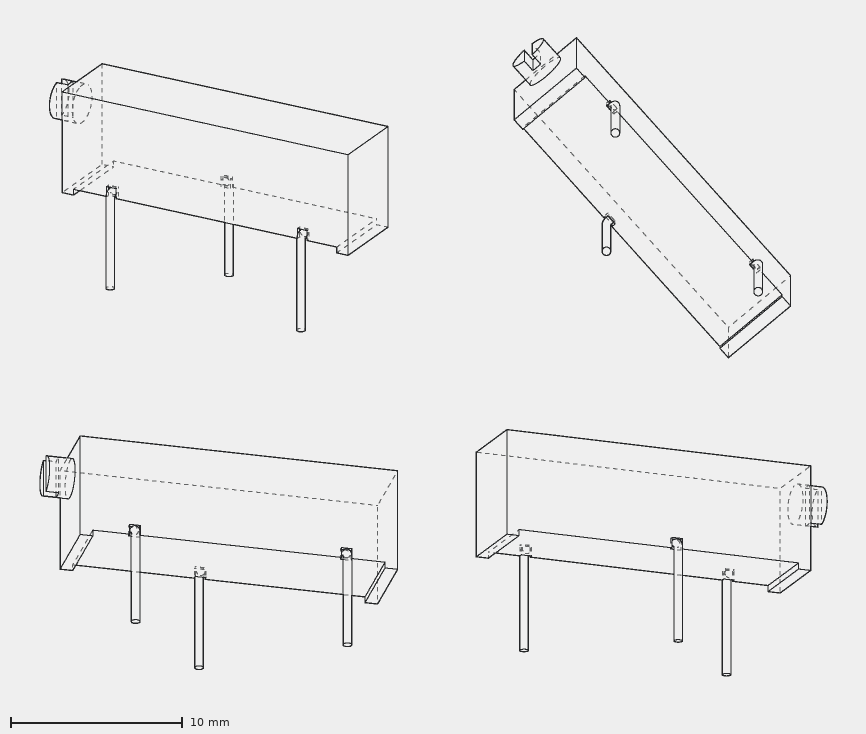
import cadquery as cq


HOUSING_LENGTH = 19.05
HOUSING_WIDTH = 4.8
HOUSING_HEIGHT = 6.38
FOOT_LENGTH = 0.76
FOOT_HEIGHT = 0.37

LEAD_DIAMETER = 0.51
LEAD_LENGTH = 5.68
BEND_RADIUS = 0.37
LEAD_ROW_OFFSET = 2.54
FIRST_LEAD_X = 3.3
LEAD_PITCH = 2.54
LEAD_EMBED = 0.41
LEAD_POSITIONS = [
    (FIRST_LEAD_X, -1),
    (FIRST_LEAD_X + 2 * LEAD_PITCH, 1),
    (FIRST_LEAD_X + 5 * LEAD_PITCH, -1),
]

NOTCH_WIDTH = 0.64
NOTCH_HEIGHT = 0.64
NOTCH_DEPTH = 0.25

SCREW_DIAMETER = 2.37
SCREW_LENGTH = 1.52
SCREW_BELOW_TOP = 1.65
SLOT_WIDTH = 0.6
SLOT_DEPTH = 0.76


def make_case():
    """Block standing on a full-width foot at each end."""
    case = cq.Workplane("XY").box(
        HOUSING_LENGTH, HOUSING_WIDTH, HOUSING_HEIGHT, centered=(False, True, False)
    )
    recess = cq.Workplane("XY").box(
        HOUSING_LENGTH - 2 * FOOT_LENGTH, HOUSING_WIDTH, FOOT_HEIGHT, centered=(False, True, False)
    )
    return case.cut(recess.translate((FOOT_LENGTH, 0, 0)))


def make_notch(x, side):
    """Pocket open to the housing side and underside; it straddles the side face."""
    notch = cq.Workplane("XY").box(
        NOTCH_WIDTH, 2 * NOTCH_DEPTH, NOTCH_HEIGHT, centered=(True, True, False)
    )
    return notch.translate((x, side * HOUSING_WIDTH / 2, FOOT_HEIGHT))


def make_lead(x, side):
    """Round wire that rises beside the housing and bends inward into it."""
    row_y = side * LEAD_ROW_OFFSET
    bend_end_y = row_y - side * BEND_RADIUS
    bend_top_z = FOOT_HEIGHT + BEND_RADIUS
    lead_radius = LEAD_DIAMETER / 2

    leg = cq.Workplane("XY", origin=(x, row_y, FOOT_HEIGHT)).circle(lead_radius).extrude(-LEAD_LENGTH)
    bend = (
        cq.Workplane("XY", origin=(x, row_y, FOOT_HEIGHT))
        .circle(lead_radius)
        .revolve(90, (0, -side * BEND_RADIUS), (side, -side * BEND_RADIUS))
    )
    inner_end = (
        cq.Workplane("XZ", origin=(x, bend_end_y, bend_top_z))
        .circle(lead_radius)
        .extrude(side * LEAD_EMBED)
    )
    return leg.union(bend).union(inner_end)


def make_housing():
    """Case and its leads as one solid."""
    housing = make_case()
    for x, side in LEAD_POSITIONS:
        housing = housing.cut(make_notch(x, side)).union(make_lead(x, side))
    return housing


def make_screw():
    """Cylinder on the housing's -X face with a vertical screwdriver slot."""
    axis_z = HOUSING_HEIGHT - SCREW_BELOW_TOP
    screw = cq.Workplane("YZ", origin=(0, 0, axis_z)).circle(SCREW_DIAMETER / 2).extrude(-SCREW_LENGTH)
    slot = cq.Workplane("XY").box(SLOT_DEPTH, SLOT_WIDTH, SCREW_DIAMETER, centered=(False, True, True))
    return screw.cut(slot.translate((-SCREW_LENGTH, 0, axis_z)))


housing = make_housing()
screw = make_screw()

result = cq.Compound.makeCompound([housing.val(), screw.val()])